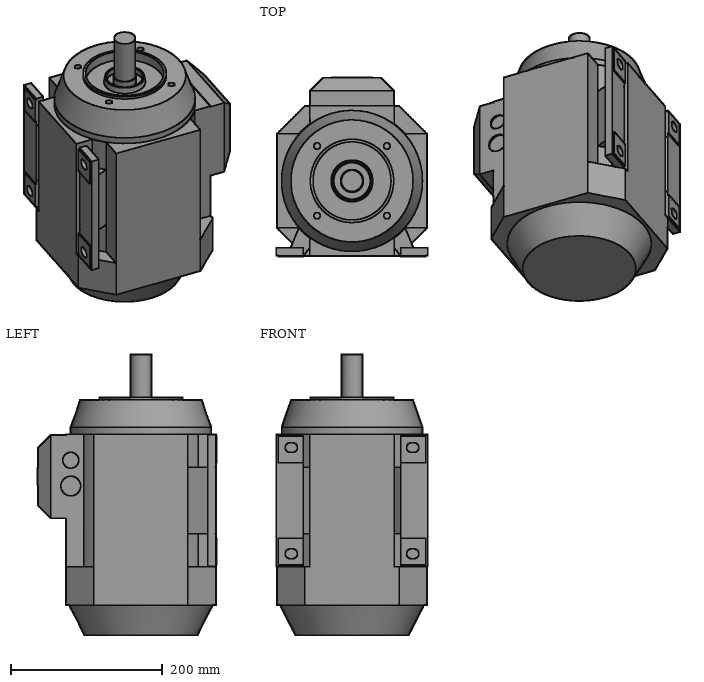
import cadquery as cq
import math


REAR_COVER_HEIGHT = 40
NOTCH_FLOOR_Z = 90.5
HOUSING_TOP_Z = 265.5
BELL_SKIRT_HEIGHT = 9
FLANGE_Z = 310.5
SHAFT_LENGTH = 60

HOUSING_HALF = 99
FLAT_HALF = 62
RIB_HALF = 55.5
BARREL_RADIUS = 93.5

REAR_COVER_TOP_RADIUS = 95
REAR_COVER_BOTTOM_RADIUS = 74.5
BELL_SKIRT_RADIUS = 93
BELL_FACE_RADIUS = 80.5

SPIGOT_RADIUS = 55
SPIGOT_BORE_RADIUS = 51.5
SPIGOT_HEIGHT = 3.5
RECESS_DEPTH = 10
BOLT_CIRCLE_RADIUS = 65
BOLT_HOLE_DIAMETER = 8.5
BOLT_HOLE_DEPTH = 20
BOLT_COUNT = 4
FIRST_BOLT_ANGLE = 45

HUB_BASE_RADIUS = 27.5
HUB_TOP_RADIUS = 26
HUB_BORE_RADIUS = 24
HUB_HEIGHT = 8
COLLAR_RADIUS = 15
SHAFT_RADIUS = 14

SHAFT_HEIGHT = 100
FOOT_OUTER_X = 100
FOOT_INNER_X = 64
FOOT_THICKNESS = 10.5
FOOT_BOTTOM_Z = 91
FOOT_TOP_Z = 264.5
PAD_THICKNESS = 1.5
PAD_EDGE_MARGIN = 3
PAD_END_MARGIN = 2
PAD_LENGTH = 35
FOOT_HOLE_X = 80
FOOT_HOLE_SPACING = 140
SLOT_LENGTH = 16
SLOT_WIDTH = 13
WEB_BOTTOM_Z = 134
WEB_TOP_Z = 222
WEB_OUTER_X = 81

BOX_LENGTH = 110
BOX_TOP_Z = 264.5
BOX_TOP_Y = 136
BOX_BEVEL = 17
PLATE_THICKNESS = 0.75
PLATE_WIDTH = 54
PLATE_HEIGHT = 22
ENTRY_Y = 92.5
ENTRY_DEPTH = 2
CABLE_ENTRIES = [(231, 10.5), (197, 13)]

foot_plane_y = -SHAFT_HEIGHT + PAD_THICKNESS
foot_back_y = foot_plane_y + FOOT_THICKNESS
foot_mid_z = (FOOT_BOTTOM_Z + FOOT_TOP_Z) / 2
box_mid_z = BOX_TOP_Z - BOX_LENGTH / 2
recess_floor_z = FLANGE_Z - RECESS_DEPTH


def block(x_range, y_range, z_range):
    """Axis-aligned box from its limits along X, Y and Z."""
    (x0, x1), (y0, y1), (z0, z1) = x_range, y_range, z_range
    return cq.Workplane("XY").box(x1 - x0, y1 - y0, z1 - z0, centered=False).translate((x0, y0, z0))


def cylinder(radius, z_bottom, z_top):
    """Cylinder on the shaft axis."""
    return cq.Workplane("XY").workplane(offset=z_bottom).circle(radius).extrude(z_top - z_bottom)


def cone(bottom_radius, top_radius, z_bottom, z_top):
    """Truncated cone on the shaft axis."""
    profile = [(0, z_bottom), (bottom_radius, z_bottom), (top_radius, z_top), (0, z_top)]
    return cq.Workplane("XZ").polyline(profile).close().revolve(360, (0, 0, 0), (0, 1, 0))


def make_housing():
    """Octagonal rear part, continued by a cross shape around a round barrel."""
    side = 2 * HOUSING_HALF
    octagon = (
        cq.Workplane("XY").workplane(offset=REAR_COVER_HEIGHT)
        .rect(side, side)
        .extrude(NOTCH_FLOOR_Z - REAR_COVER_HEIGHT)
        .edges("|Z").chamfer(HOUSING_HALF - FLAT_HALF)
    )
    z_range = (NOTCH_FLOOR_Z, HOUSING_TOP_Z)
    full = (-HOUSING_HALF, HOUSING_HALF)
    ribs = block((-RIB_HALF, RIB_HALF), full, z_range)
    sides = block(full, (-FLAT_HALF, FLAT_HALF), z_range)
    barrel = cylinder(BARREL_RADIUS, *z_range)
    return octagon.union(ribs).union(sides).union(barrel)


def make_rear_cover():
    return cone(REAR_COVER_BOTTOM_RADIUS, REAR_COVER_TOP_RADIUS, 0, REAR_COVER_HEIGHT)


def make_front_bell():
    """Bell with spigot ring, recess, bearing hub and bolt holes."""
    skirt_top = HOUSING_TOP_Z + BELL_SKIRT_HEIGHT
    spigot_top = FLANGE_Z + SPIGOT_HEIGHT
    bell = cylinder(BELL_SKIRT_RADIUS, HOUSING_TOP_Z, skirt_top)
    bell = bell.union(cone(BELL_SKIRT_RADIUS, BELL_FACE_RADIUS, skirt_top, FLANGE_Z))
    bell = bell.union(cylinder(SPIGOT_RADIUS, FLANGE_Z, spigot_top))
    bell = bell.cut(cylinder(SPIGOT_BORE_RADIUS, recess_floor_z, spigot_top))

    hub_top = recess_floor_z + HUB_HEIGHT
    hub = cone(HUB_BASE_RADIUS, HUB_TOP_RADIUS, recess_floor_z, hub_top)
    bell = bell.union(hub.cut(cylinder(HUB_BORE_RADIUS, recess_floor_z, hub_top)))

    bolt_holes = (
        cq.Workplane("XY").workplane(offset=FLANGE_Z - BOLT_HOLE_DEPTH)
        .polarArray(BOLT_CIRCLE_RADIUS, FIRST_BOLT_ANGLE, 360, BOLT_COUNT)
        .circle(BOLT_HOLE_DIAMETER / 2)
        .extrude(BOLT_HOLE_DEPTH)
    )
    return bell.cut(bolt_holes)


def make_shaft():
    collar = cylinder(COLLAR_RADIUS, recess_floor_z, FLANGE_Z)
    return collar.union(cylinder(SHAFT_RADIUS, FLANGE_Z, FLANGE_Z + SHAFT_LENGTH))


def make_foot():
    """Foot on the +X side: plate, web, two mounting pads and their slots."""
    x_range = (FOOT_INNER_X, FOOT_OUTER_X)
    foot = block(x_range, (foot_plane_y, foot_back_y), (FOOT_BOTTOM_Z, FOOT_TOP_Z))

    barrel_x = math.sqrt(BARREL_RADIUS**2 - FLAT_HALF**2)
    web_outline = [
        (RIB_HALF, -FLAT_HALF),
        (barrel_x, -FLAT_HALF),
        (WEB_OUTER_X, foot_back_y),
        (FOOT_INNER_X, foot_plane_y),
        (RIB_HALF, foot_back_y),
    ]
    web = (
        cq.Workplane("XY").workplane(offset=WEB_BOTTOM_Z)
        .polyline(web_outline).close()
        .extrude(WEB_TOP_Z - WEB_BOTTOM_Z)
    )

    pad_x_range = (FOOT_INNER_X, FOOT_OUTER_X - PAD_EDGE_MARGIN)
    pad_y_range = (-SHAFT_HEIGHT, foot_plane_y)
    low_end = FOOT_BOTTOM_Z + PAD_END_MARGIN
    high_end = FOOT_TOP_Z - PAD_END_MARGIN
    for z_range in [(low_end, low_end + PAD_LENGTH), (high_end - PAD_LENGTH, high_end)]:
        foot = foot.union(block(pad_x_range, pad_y_range, z_range))

    slots = (
        cq.Workplane("XZ", origin=(FOOT_HOLE_X, foot_back_y, foot_mid_z))
        .rarray(1, FOOT_HOLE_SPACING, 1, 2)
        .slot2D(SLOT_LENGTH, SLOT_WIDTH)
        .extrude(FOOT_THICKNESS + PAD_THICKNESS)
    )
    return foot.cut(slots).union(web)


def make_terminal_box():
    """Box with a bevelled +Y face and a cover plate."""
    box = block(
        (-RIB_HALF, RIB_HALF),
        (0, BOX_TOP_Y),
        (BOX_TOP_Z - BOX_LENGTH, BOX_TOP_Z),
    )
    box = box.faces(">Y").edges().chamfer(BOX_BEVEL)
    plate = block(
        (-PLATE_WIDTH / 2, PLATE_WIDTH / 2),
        (BOX_TOP_Y, BOX_TOP_Y + PLATE_THICKNESS),
        (box_mid_z - PLATE_HEIGHT / 2, box_mid_z + PLATE_HEIGHT / 2),
    )
    return box.union(plate)


def make_cable_entries():
    """Blind round recesses in the -X side of the terminal box."""
    entries = cq.Workplane("YZ", origin=(-RIB_HALF, 0, 0))
    for z, radius in CABLE_ENTRIES:
        entries = entries.moveTo(ENTRY_Y, z).circle(radius)
    return entries.extrude(ENTRY_DEPTH)


foot = make_foot()
result = (
    make_housing()
    .union(make_rear_cover())
    .union(make_front_bell())
    .union(make_shaft())
    .union(foot)
    .union(foot.mirror("YZ"))
    .union(make_terminal_box())
    .cut(make_cable_entries())
)